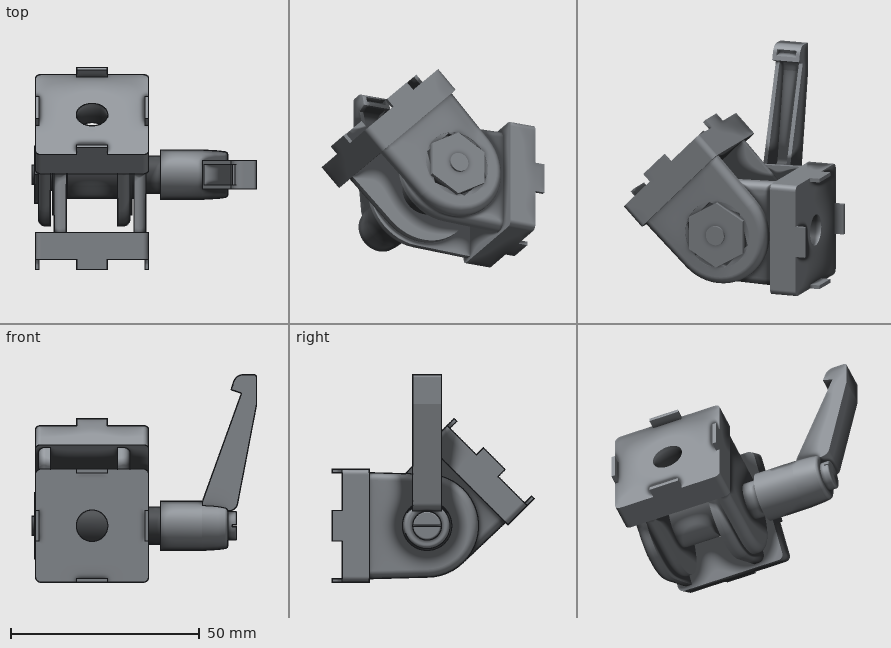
import cadquery as cq
import math

SWIVEL_ANGLE = 45.0

PLATE_SIZE = 30.0
PLATE_BACK = 15.3
PLATE_THICKNESS = 7.2
PLATE_FRONT = PLATE_BACK + PLATE_THICKNESS
PLATE_CORNER_RADIUS = 1.5
PLATE_HOLE_RADIUS = 4.15
TAB_WIDTH = 8.15
TAB_THICKNESS = 1.0
TAB_LENGTH = 2.6

OUTER_EAR_INSIDE = 11.05
OUTER_EAR_OUTSIDE = 14.2
INNER_EAR_INSIDE = 6.8
INNER_EAR_OUTSIDE = 10.05
RUB_DISC_FACE = 10.55
RUB_DISC_RADIUS = 10.7
EAR_RADIUS = 13.6
EAR_TAPER = math.radians(1.6)
EAR_FILLET = 2.0
EAR_ROOT = 3.0

NUT_CORNER_RADIUS = 8.75
NUT_FACE = -15.25
SEAT_CORNER_RADIUS = 8.85
SEAT_FLOOR = -12.5
RECESS_RADIUS = 9.0
RECESS_DEPTH = 0.2
COLLAR_RADIUS = 4.15

STUD_RADIUS = 2.55
STUD_START = -15.95
STUD_END = 23.8
SPACER_RADIUS = 6.3
SPACER_START = -6.55

INSERT_RADIUS = 5.0
INSERT_END = 29.75
HUB_START = 18.1
HUB_SHOULDER = 29.2
HUB_RIM = 35.05
HUB_END = 35.95
HUB_RADIUS = 6.55
HUB_WAIST_RADIUS = 6.4
HUB_RIM_RADIUS = 6.05
HUB_EDGE_ROUND = HUB_END - HUB_RIM
SCREW_HEAD_RADIUS = 3.8
SCREW_HEAD_END = 38.25
SCREW_EDGE_ROUND = 0.5
SCREW_SHANK_RADIUS = 1.8
SCREW_SHANK_START = 26.2
SLOT_WIDTH = 0.5
SLOT_DEPTH = 1.15

HANDLE_WIDTH = 7.6
HANDLE_WALL = 1.1
POCKET_WIDTH = HANDLE_WIDTH - 2 * HANDLE_WALL
HANDLE_BACK = 43.55
HANDLE_TOP = 40.0
HANDLE_BASE_Z = 6.5
HANDLE_KNEE_Z = 32.15
HEEL_X = 38.55
HEEL_Z = 6.0
HEEL_ROUND = 2.4
HEEL_END_X = 36.4
HEEL_UNDERSIDE_Z = 3.9
HANDLE_TOP_ROUND = 0.8
HOOK_ROOT = (39.5, 35.05)
HOOK_TIP = (36.8, 36.0)
HOOK_NOSE = (37.4, 38.1)
HOOK_CREST = (40.15, HANDLE_TOP)
HOOK_MIDDLE = (38.5, 39.5)
POCKET_FLOOR_Z = 7.55
POCKET_CEILING_Z = 35.8
POCKET_ROUND = 1.8
HOOK_RECESS_BOTTOM = 37.05
HOOK_RECESS_TOP = 39.0
HOOK_RECESS_TAPER = 0.5
HOOK_RECESS_BACK = 39.55


def rod(radius, start, end):
    """Solid cylinder along the pivot axis between two X positions."""
    return cq.Workplane("YZ", origin=(start, 0, 0)).circle(radius).extrude(end - start)


def hexagon(corner_radius, start, end):
    """Hexagonal prism along the pivot axis with two corners on the Z axis."""
    corners = [
        (
            corner_radius * math.sin(math.radians(60 * i)),
            corner_radius * math.cos(math.radians(60 * i)),
        )
        for i in range(6)
    ]
    return cq.Workplane("YZ", origin=(start, 0, 0)).polyline(corners).close().extrude(end - start)



def make_ear(inside, outside):
    """Tapered round-ended ear between two X positions, rounded along its outside face."""
    root_y = -PLATE_BACK - EAR_ROOT
    root_height = EAR_RADIUS / math.cos(EAR_TAPER) - root_y * math.tan(EAR_TAPER)
    tangent_y = EAR_RADIUS * math.sin(EAR_TAPER)
    tangent_z = EAR_RADIUS * math.cos(EAR_TAPER)
    ear = (
        cq.Workplane("YZ", origin=(inside, 0, 0))
        .moveTo(root_y, root_height)
        .lineTo(tangent_y, tangent_z)
        .threePointArc((EAR_RADIUS, 0), (tangent_y, -tangent_z))
        .lineTo(root_y, -root_height)
        .close()
        .extrude(outside - inside)
    )
    outside_face = ">X" if outside > inside else "<X"
    return ear.faces(outside_face).edges().fillet(EAR_FILLET)


def make_plate():
    """Square plate with rounded corners and a forward tab on each side."""
    plate = (
        cq.Workplane("XZ", origin=(0, -PLATE_BACK, 0))
        .rect(PLATE_SIZE, PLATE_SIZE)
        .extrude(PLATE_THICKNESS)
        .edges("|Y")
        .fillet(PLATE_CORNER_RADIUS)
    )
    tab = cq.Workplane("XY").box(TAB_WIDTH, TAB_LENGTH, TAB_THICKNESS).translate(
        (0, -PLATE_FRONT - TAB_LENGTH / 2, (PLATE_SIZE - TAB_THICKNESS) / 2)
    )
    for side in range(4):
        plate = plate.union(tab.rotate((0, 0, 0), (0, 1, 0), 90 * side))
    return plate


def make_bracket(outer_bore_radius, inner_bore_radius):
    """Plate with its two ears; each ear is bored for the part that runs through it."""
    outer_ear = make_ear(OUTER_EAR_INSIDE, OUTER_EAR_OUTSIDE)
    inner_ear = make_ear(-INNER_EAR_INSIDE, -INNER_EAR_OUTSIDE)
    rub_disc = rod(RUB_DISC_RADIUS, -RUB_DISC_FACE, -INNER_EAR_OUTSIDE)
    plate_hole = (
        cq.Workplane("XZ", origin=(0, -PLATE_BACK + EAR_ROOT, 0))
        .circle(PLATE_HOLE_RADIUS)
        .extrude(PLATE_THICKNESS + 2 * EAR_ROOT)
    )
    return (
        make_plate()
        .union(outer_ear)
        .union(inner_ear)
        .union(rub_disc)
        .cut(plate_hole)
        .cut(rod(outer_bore_radius, 0, OUTER_EAR_OUTSIDE))
        .cut(rod(inner_bore_radius, -RUB_DISC_FACE, 0))
    )


def swivel(bracket):
    """Turn a bracket to the far side of the pivot and lift it by the swivel angle."""
    turned = bracket.rotate((0, 0, 0), (0, 0, 1), 180)
    return turned.rotate((0, 0, 0), (1, 0, 0), SWIVEL_ANGLE)


fixed_bracket = make_bracket(STUD_RADIUS, STUD_RADIUS)

nut_seat = hexagon(SEAT_CORNER_RADIUS, -SEAT_FLOOR, OUTER_EAR_OUTSIDE)
nut_recess = rod(RECESS_RADIUS, OUTER_EAR_OUTSIDE - RECESS_DEPTH, OUTER_EAR_OUTSIDE)
swivel_bracket = swivel(
    make_bracket(COLLAR_RADIUS, SPACER_RADIUS).cut(nut_seat).cut(nut_recess)
)

nut_head = hexagon(NUT_CORNER_RADIUS, NUT_FACE, SEAT_FLOOR)
nut = (
    nut_head
    .union(rod(COLLAR_RADIUS, SEAT_FLOOR, -RUB_DISC_FACE))
    .cut(rod(STUD_RADIUS, NUT_FACE, -RUB_DISC_FACE))
)

swivel_bracket = swivel_bracket.cut(nut_head)

stud = rod(STUD_RADIUS, STUD_START, STUD_END)
spacer = rod(SPACER_RADIUS, SPACER_START, OUTER_EAR_INSIDE).cut(
    rod(STUD_RADIUS, SPACER_START, OUTER_EAR_INSIDE)
)

screw_shank = rod(SCREW_SHANK_RADIUS, SCREW_SHANK_START, HUB_END)
screw_slot = cq.Workplane("XY").box(2 * SLOT_DEPTH, 2 * SCREW_HEAD_RADIUS, SLOT_WIDTH).translate(
    (SCREW_HEAD_END, 0, 0)
)
lever_screw = (
    rod(SCREW_HEAD_RADIUS, HUB_END, SCREW_HEAD_END)
    .faces(">X")
    .edges()
    .fillet(SCREW_EDGE_ROUND)
    .union(screw_shank)
    .cut(screw_slot)
)

insert_body = rod(INSERT_RADIUS, OUTER_EAR_OUTSIDE, INSERT_END)
insert = insert_body.cut(stud).cut(screw_shank)



def make_hub():
    """Round hub that narrows in a slight curve towards its rounded free end."""
    profile = (
        cq.Workplane("XY")
        .moveTo(HUB_START, 0)
        .lineTo(HUB_START, HUB_RADIUS)
        .lineTo(HUB_SHOULDER, HUB_RADIUS)
        .threePointArc(
            ((HUB_SHOULDER + HUB_RIM) / 2, HUB_WAIST_RADIUS),
            (HUB_RIM, HUB_RIM_RADIUS),
        )
        .radiusArc((HUB_END, HUB_RIM_RADIUS - HUB_EDGE_ROUND), HUB_EDGE_ROUND)
        .lineTo(HUB_END, 0)
        .close()
    )
    return profile.revolve(360, (0, 0, 0), (1, 0, 0))


def extrude_across(outline, width):
    """Extrude an outline in the XZ plane evenly to both sides of the centre plane."""
    return outline.close().extrude(width / 2, both=True)


def make_handle():
    """Hooked handle rising from the hub, with its heel and outer top edge rounded."""
    outline = (
        cq.Workplane("XZ")
        .moveTo(HUB_SHOULDER, 0)
        .lineTo(HUB_SHOULDER, HANDLE_BASE_Z)
        .lineTo(*HOOK_ROOT)
        .lineTo(*HOOK_TIP)
        .lineTo(*HOOK_NOSE)
        .threePointArc(HOOK_MIDDLE, HOOK_CREST)
        .lineTo(HANDLE_BACK - HANDLE_TOP_ROUND, HANDLE_TOP)
        .radiusArc((HANDLE_BACK, HANDLE_TOP - HANDLE_TOP_ROUND), HANDLE_TOP_ROUND)
        .lineTo(HANDLE_BACK, HANDLE_KNEE_Z)
        .lineTo(HEEL_X, HEEL_Z)
        .radiusArc((HEEL_END_X, HEEL_UNDERSIDE_Z), HEEL_ROUND)
        .lineTo(HUB_RIM, HEEL_UNDERSIDE_Z)
        .lineTo(HUB_RIM, 0)
    )
    return extrude_across(outline, HANDLE_WIDTH)


def make_handle_pocket():
    """Channel open towards the bracket that leaves side walls and a back wall."""
    back_x = HANDLE_BACK - HANDLE_WALL
    back_slope = (HANDLE_BACK - HEEL_X) / (HANDLE_KNEE_Z - HEEL_Z)
    floor_back_x = back_x - back_slope * (HANDLE_KNEE_Z - POCKET_FLOOR_Z)
    outline = (
        cq.Workplane("XZ")
        .moveTo(HUB_SHOULDER, POCKET_FLOOR_Z)
        .lineTo(floor_back_x, POCKET_FLOOR_Z)
        .lineTo(back_x, HANDLE_KNEE_Z)
        .lineTo(back_x, POCKET_CEILING_Z)
        .lineTo(HOOK_TIP[0], POCKET_CEILING_Z)
    )
    pocket = extrude_across(outline, POCKET_WIDTH)
    floor_edge = cq.selectors.NearestToPointSelector((floor_back_x, 0, POCKET_FLOOR_Z))
    ceiling_edge = cq.selectors.NearestToPointSelector((back_x, 0, POCKET_CEILING_Z))
    return pocket.edges(floor_edge).fillet(POCKET_ROUND).edges(ceiling_edge).fillet(POCKET_ROUND)


def make_hook_recess():
    """Tapered blind recess in the end of the hook."""
    outline = (
        cq.Workplane("XZ")
        .moveTo(HOOK_TIP[0], HOOK_RECESS_BOTTOM)
        .lineTo(HOOK_RECESS_BACK, HOOK_RECESS_BOTTOM + HOOK_RECESS_TAPER)
        .lineTo(HOOK_RECESS_BACK, HOOK_RECESS_TOP - HOOK_RECESS_TAPER)
        .lineTo(HOOK_TIP[0], HOOK_RECESS_TOP)
    )
    return extrude_across(outline, POCKET_WIDTH)


lever = (
    make_handle()
    .cut(make_handle_pocket())
    .union(make_hub())
    .cut(make_hook_recess())
    .cut(insert_body)
    .cut(screw_shank)
)

result = cq.Compound.makeCompound(
    [
        fixed_bracket.val(),
        swivel_bracket.val(),
        nut.val(),
        stud.val(),
        spacer.val(),
        insert.val(),
        lever.val(),
        lever_screw.val(),
    ]
)